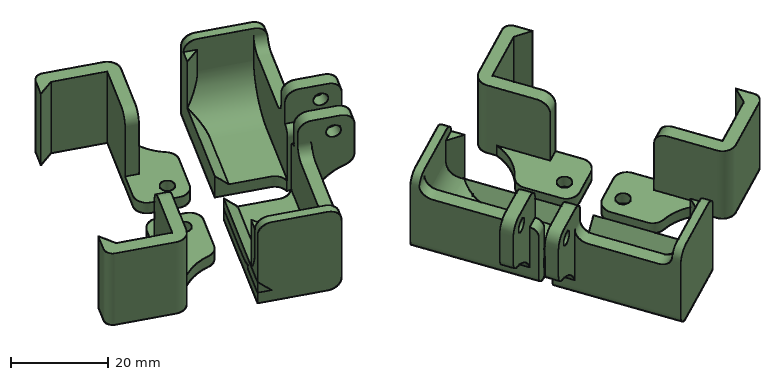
import cadquery as cq
import math

wall = 3.0
corner_r = 3.0
depth = 18.0
lip_size = 3.0

ear_reach = 9.16
ear_hole_d = 3.2
hole_from_end = 4.0
hole_from_rear = 4.5
hollow_r = 12.0
hollow_reach = 11.16
hollow_from_end = 25.3

tray_outer_x = 30.0
tray_floor_x = 3.5
tray_back_x = 1.5
side_wall = 2.0
side_height = 22.0
back_height = 17.0
ear_top = 26.0
cove_r = 10.0
back_end_r = 2.0
blend_r = 3.0
tray_inner_x = tray_outer_x - side_wall
cove_start_x = tray_inner_x - cove_r
lip_root_start_x = 22.5

bracket_height = 20.0
bracket_length = 26.0
plate_length = 17.0
arm_front_r = 2.0
bracket_front_y = -32.0
bracket_ear_ends = {"left": -2.4, "right": 2.6}


def mirrored(body):
    """Copy of a body on the other side of X = 0."""
    return body.mirror("YZ")


def block(x0, x1, y0, y1, z0, z1):
    return cq.Workplane("XY").box(x1 - x0, y1 - y0, z1 - z0, centered=False).translate((x0, y0, z0))


def ear_outline(plane, front):
    """Closed ear outline on a plane whose first axis runs away from the free end
    and whose second axis runs towards the rear, 0 at the rear face of the back wall
    and front at the front edge of the ear."""
    rear_centre = ear_reach - corner_r
    front_centre = front + corner_r
    centre_gap = hollow_r + corner_r
    sweep_angle = math.asin((hollow_reach - rear_centre) / centre_gap)
    corner_from_end = hollow_from_end - centre_gap * math.cos(sweep_angle)
    tangent = (
        corner_from_end + corner_r * math.cos(sweep_angle),
        rear_centre + corner_r * math.sin(sweep_angle),
    )
    half_angle = (math.pi / 2 + sweep_angle) / 2
    corner_mid = (
        corner_from_end + corner_r * math.cos(half_angle),
        rear_centre + corner_r * math.sin(half_angle),
    )
    end_angle = math.asin(hollow_reach / hollow_r)
    sweep_end = (hollow_from_end - hollow_r * math.cos(end_angle), 0)
    mid_angle = (sweep_angle + end_angle) / 2
    sweep_mid = (
        hollow_from_end - hollow_r * math.cos(mid_angle),
        hollow_reach - hollow_r * math.sin(mid_angle),
    )
    diagonal = corner_r * (1 - math.sqrt(0.5))
    return (
        cq.Workplane(plane)
        .moveTo(corner_r, front)
        .threePointArc((diagonal, front + diagonal), (0, front_centre))
        .lineTo(0, rear_centre)
        .threePointArc((diagonal, ear_reach - diagonal), (corner_r, ear_reach))
        .lineTo(corner_from_end, ear_reach)
        .threePointArc(corner_mid, tangent)
        .threePointArc(sweep_mid, sweep_end)
        .lineTo(sweep_end[0], front)
        .close()
    )


def ear(plane):
    """Ear plate, one wall thick along the plane normal, with its pin hole."""
    hole = (
        cq.Workplane(plane)
        .center(hole_from_end, ear_reach - hole_from_rear)
        .circle(ear_hole_d / 2)
        .extrude(wall)
    )
    return ear_outline(plane, -wall).extrude(wall).cut(hole)


def tray_envelope():
    """Side silhouette along X: rounded except at the front bottom edge."""
    return (
        block(tray_back_x, tray_outer_x, 0, depth, 0, side_height)
        .edges("|X and >Y")
        .fillet(corner_r)
        .edges("|X and <Y and >Z")
        .fillet(corner_r)
    )


def cove_fill():
    """Material under the cylindrical cove between floor and side wall."""
    centre_z = wall + cove_r
    arc_mid = (
        cove_start_x + cove_r * math.sqrt(0.5),
        centre_z - cove_r * math.sqrt(0.5),
    )
    return (
        cq.Workplane("XZ")
        .moveTo(cove_start_x, wall)
        .threePointArc(arc_mid, (tray_inner_x, centre_z))
        .lineTo(tray_inner_x, wall)
        .close()
        .extrude(-depth)
    )


def tray_floor():
    """Floor whose inner end sweeps concavely out to the back wall."""
    inner_y = depth - wall
    floor = block(tray_floor_x, tray_outer_x, 0, depth, 0, wall)
    corner = block(tray_back_x, tray_floor_x, inner_y - blend_r, depth, 0, wall)
    sweep = (
        cq.Workplane("XY")
        .center(tray_floor_x - blend_r, inner_y - blend_r)
        .circle(blend_r)
        .extrude(wall)
    )
    return floor.union(corner.cut(sweep))


def corner_blend(x, direction):
    """Concave blend on the back wall top, rising towards an upright face at x."""
    far_x = x - direction * blend_r
    patch = block(min(x, far_x), max(x, far_x), depth - wall, depth, back_height, back_height + blend_r)
    scoop = (
        cq.Workplane("XZ")
        .center(far_x, back_height + blend_r)
        .circle(blend_r)
        .extrude(-depth)
    )
    return patch.cut(scoop)


def tray_back_wall():
    wall_plate = (
        block(tray_back_x, tray_outer_x, depth - wall, depth, 0, back_height)
        .edges("|Y and <X and >Z")
        .fillet(back_end_r)
    )
    return (
        wall_plate
        .union(corner_blend(tray_floor_x + wall, -1))
        .union(corner_blend(tray_inner_x, 1))
    )


def tray_ear():
    plane = cq.Plane(origin=(tray_floor_x, depth, ear_top), xDir=(0, 0, -1), normal=(1, 0, 0))
    return ear(plane)


def tray_body():
    side = block(tray_inner_x, tray_outer_x, 0, depth, 0, side_height)
    shell = side.union(tray_floor()).union(cove_fill()).union(tray_back_wall())
    return shell.intersect(tray_envelope()).union(tray_ear())


def floor_lip(x0, x1):
    """Triangular strip on the floor, upright at the front."""
    return (
        cq.Workplane("YZ", origin=(x0, 0, 0))
        .polyline([(0, wall), (lip_size, wall), (0, wall + lip_size)])
        .close()
        .extrude(x1 - x0)
    )


def side_lip():
    """Triangular strip up the inner face of the side wall."""
    return (
        cq.Workplane("XY", origin=(0, 0, wall))
        .polyline([(tray_inner_x, 0), (tray_inner_x, lip_size), (tray_inner_x - lip_size, 0)])
        .close()
        .extrude(side_height - corner_r - wall)
    )


def tray_lip():
    """Floor and side strips resting on the cove, joined by a root set into the tray corner."""
    strips = floor_lip(tray_floor_x, tray_inner_x).union(side_lip()).cut(cove_fill())
    return strips.union(floor_lip(lip_root_start_x, tray_outer_x))


def bracket_arm():
    arm = (
        block(-bracket_length, -bracket_length + wall, 0, depth, 0, bracket_height)
        .edges("|Z and <X and <Y")
        .fillet(arm_front_r)
    )
    plate = (
        block(-bracket_length, plate_length - bracket_length, depth - wall, depth, 0, bracket_height)
        .edges("|Y and >X and >Z")
        .fillet(corner_r)
    )
    return arm.union(plate).edges("|Z and <X and >Y").fillet(corner_r)


def bracket_hook():
    """Triangular catch at the front of the arm."""
    inner_x = wall - bracket_length
    return (
        cq.Workplane("XY")
        .polyline([(inner_x, 0), (inner_x + lip_size, 0), (inner_x, lip_size)])
        .close()
        .extrude(bracket_height)
    )


def bracket_body():
    ear_plane = cq.Plane(origin=(0, depth, wall), xDir=(-1, 0, 0), normal=(0, 0, -1))
    return bracket_arm().union(bracket_hook()).union(ear(ear_plane))


right_lip = tray_lip()
right_tray = tray_body().cut(right_lip)
left_tray = mirrored(tray_body().union(tray_lip()))
bracket = bracket_body()
left_bracket = bracket.translate((bracket_ear_ends["left"], bracket_front_y, 0))
right_bracket = mirrored(bracket).translate((bracket_ear_ends["right"], bracket_front_y, 0))

bodies = [left_tray, right_tray, right_lip, left_bracket, right_bracket]
result = cq.Compound.makeCompound([body.solids().val() for body in bodies])